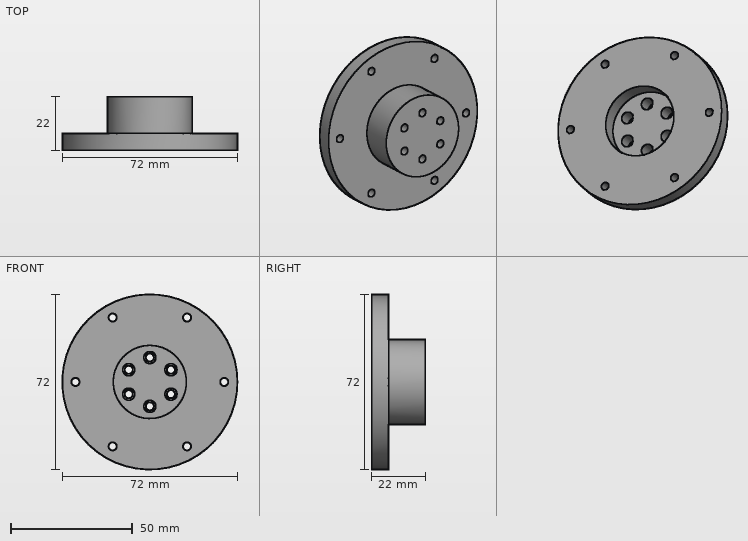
import cadquery as cq

flange_diameter = 72.0
flange_thickness = 7.0
hub_diameter = 35.0
total_depth = 22.0

pocket_diameter = 30.0
pocket_depth = 8.3

hole_count = 6
hole_diameter = 3.25
flange_ring_radius = 30.5
hub_ring_radius = 10.0
counterbore_diameter = 5.0
counterbore_depth = 8.0


def cylinder(diameter, front_y, length):
    """Cylinder on the Y axis, running from front_y toward +Y."""
    plane = cq.Workplane("XZ", origin=(0, front_y, 0))
    return plane.circle(diameter / 2).extrude(-length)


def hole_ring(ring_radius, start_angle, diameter, front_y, length):
    """Evenly spaced cylinders along Y, used as hole cutters."""
    plane = cq.Workplane("XZ", origin=(0, front_y, 0))
    points = plane.polarArray(ring_radius, start_angle, 360, hole_count)
    return points.circle(diameter / 2).extrude(-length)


body = cylinder(flange_diameter, 0, flange_thickness)
body = body.union(cylinder(hub_diameter, 0, total_depth))

body = body.cut(cylinder(pocket_diameter, 0, pocket_depth))

body = body.cut(hole_ring(flange_ring_radius, 0, hole_diameter, 0, flange_thickness))

body = body.cut(hole_ring(hub_ring_radius, 90, hole_diameter, 0, total_depth))
body = body.cut(
    hole_ring(hub_ring_radius, 90, counterbore_diameter, pocket_depth, counterbore_depth)
)

result = body